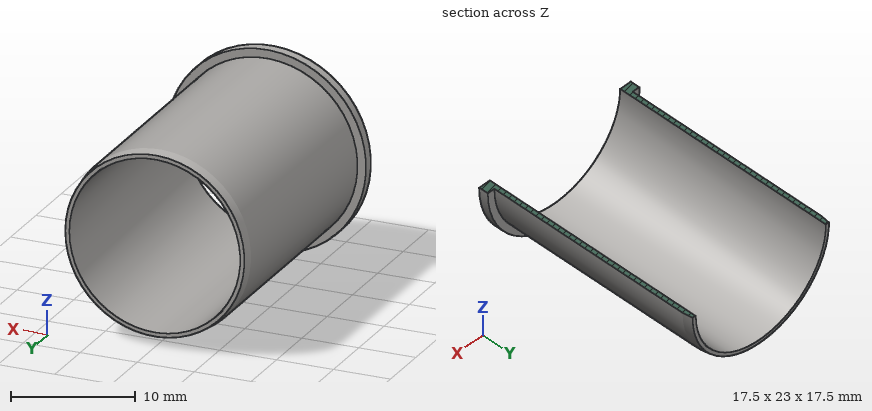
import cadquery as cq

length = 23.0
flange_diameter = 17.5
flange_thickness = 1.0
body_diameter = 16.0
bore_diameter = 15.0
lead_in_length = 1.0
lead_in_depth = 0.14

flange_radius = flange_diameter / 2
body_radius = body_diameter / 2
bore_radius = bore_diameter / 2

wall_section = (
    cq.Workplane("XY")
    .moveTo(bore_radius, 0)
    .lineTo(flange_radius, 0)
    .lineTo(flange_radius, flange_thickness)
    .lineTo(body_radius, flange_thickness)
    .lineTo(body_radius, length - lead_in_length)
    .lineTo(body_radius - lead_in_depth, length)
    .lineTo(bore_radius, length)
    .close()
)

result = wall_section.revolve(360, (0, 0, 0), (0, 1, 0))